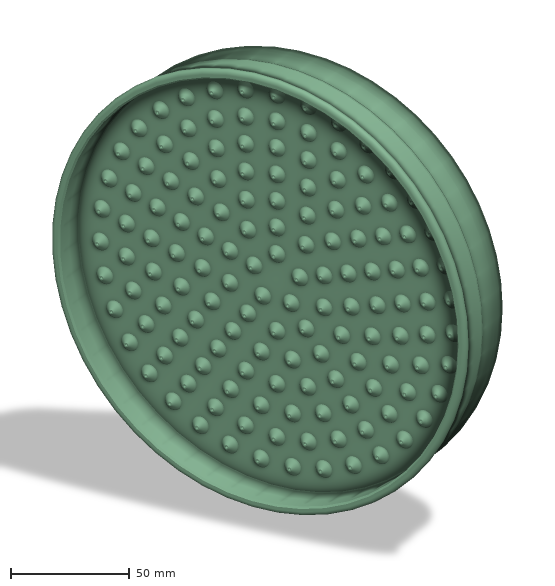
import cadquery as cq
import math


rim_radius = 102.0
rim_height = 4.0
rim_round = rim_height / 2
collar_radius = rim_radius - rim_round
collar_top = 18.2
collar_bevel_width = 0.3
collar_bevel_height = 1.2

groove_radius = 99.1
groove_top = 19.0

bell_radius = 99.3
bell_wall_top = 29.0
shoulder_radius = 85.0
shoulder_height = 50.4
crown_edge_radius = 26.3
crown_edge_height = 85.7
crown_radius = 22.8
crown_height = 88.1

edge_chamfer = 0.6
socket_radius = 16.5
socket_top = 110.2
neck_radius = 8.2
neck_flange_radius = 8.5
neck_flange_height = 0.8
neck_top = 114.9
nut_radius = 12.2
overall_height = 130.0

recess_radius = 97.7
recess_depth = 16.0
mouth_chamfer = 0.8
floor_chamfer = 0.5

nozzle_radius = 4.0
nozzle_height = 3.0
nozzle_tip_radius = 1.0
nozzle_hole_radius = 0.5
nozzle_hole_depth = 2.0
first_ring_radius = 11.8
last_ring_radius = 86.7
ring_count = 7
nozzles_added_per_ring = 5


def make_body():
    """Revolve the bell with its recess, rim and inlet connector about Y."""
    profile = (
        cq.Workplane("XY")
        .moveTo(0, recess_depth)
        .lineTo(recess_radius - floor_chamfer, recess_depth)
        .lineTo(recess_radius, recess_depth - floor_chamfer)
        .lineTo(recess_radius, mouth_chamfer)
        .lineTo(recess_radius + mouth_chamfer, 0)
        .lineTo(collar_radius, 0)
        .threePointArc((rim_radius, rim_round), (collar_radius, rim_height))
        .lineTo(collar_radius, collar_top - collar_bevel_height)
        .lineTo(collar_radius - collar_bevel_width, collar_top)
        .lineTo(groove_radius, collar_top)
        .lineTo(groove_radius, groove_top)
        .lineTo(bell_radius, groove_top)
        .lineTo(bell_radius, bell_wall_top)
        .tangentArcPoint((shoulder_radius, shoulder_height), relative=False)
        .tangentArcPoint((crown_edge_radius, crown_edge_height), relative=False)
        .tangentArcPoint((crown_radius, crown_height), relative=False)
        .lineTo(socket_radius - edge_chamfer, crown_height)
        .lineTo(socket_radius, crown_height + edge_chamfer)
        .lineTo(socket_radius, socket_top - edge_chamfer)
        .lineTo(socket_radius - edge_chamfer, socket_top)
        .lineTo(neck_flange_radius, socket_top)
        .lineTo(neck_flange_radius, socket_top + neck_flange_height)
        .lineTo(neck_radius, socket_top + neck_flange_height)
        .lineTo(neck_radius, neck_top - neck_flange_height)
        .lineTo(neck_flange_radius, neck_top - neck_flange_height)
        .lineTo(neck_flange_radius, neck_top)
        .lineTo(nut_radius - edge_chamfer, neck_top)
        .lineTo(nut_radius, neck_top + edge_chamfer)
        .lineTo(nut_radius, overall_height)
        .lineTo(0, overall_height)
        .close()
    )
    return profile.revolve(360, (0, 0), (0, 1)).val()


def make_nozzle():
    """One conical nozzle on the Y axis, with a blind hole in its flat tip."""
    tip_height = recess_depth - nozzle_height
    hole_floor = tip_height + nozzle_hole_depth
    profile = (
        cq.Workplane("XY")
        .moveTo(0, recess_depth)
        .lineTo(nozzle_radius, recess_depth)
        .lineTo(nozzle_tip_radius, tip_height)
        .lineTo(nozzle_hole_radius, tip_height)
        .lineTo(nozzle_hole_radius, hole_floor)
        .lineTo(0, hole_floor)
        .close()
    )
    return profile.revolve(360, (0, 0), (0, 1)).val()


def nozzle_positions():
    """X, Z centres of all nozzles; every ring has one nozzle straight up in +Z."""
    ring_spacing = (last_ring_radius - first_ring_radius) / (ring_count - 1)
    positions = []
    for ring in range(ring_count):
        radius = first_ring_radius + ring * ring_spacing
        nozzle_count = nozzles_added_per_ring * (ring + 1)
        for index in range(nozzle_count):
            angle = 2 * math.pi * index / nozzle_count
            positions.append((radius * math.sin(angle), radius * math.cos(angle)))
    return positions


nozzle = make_nozzle()
nozzles = [nozzle.translate(cq.Vector(x, 0, z)) for x, z in nozzle_positions()]
result = cq.Workplane(make_body().fuse(*nozzles))